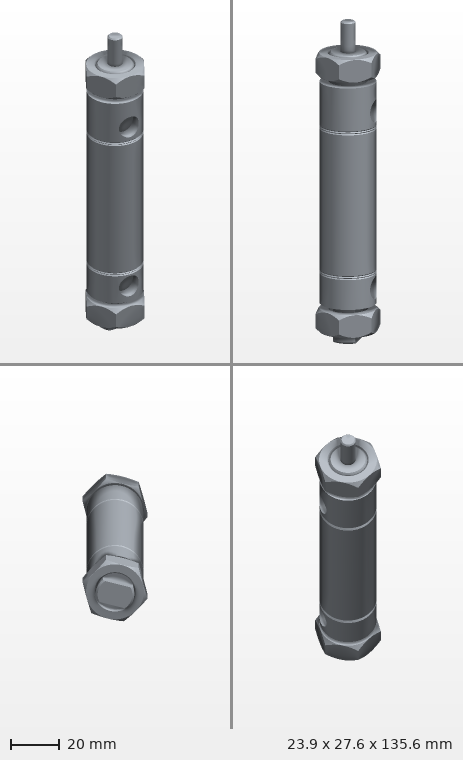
import cadquery as cq
import math

foot_bottom = 0.0
barrel_bottom = 15.7
barrel_top = 110.0
neck_top = 122.6
rod_top = 135.6

barrel_diameter = 23.5
thread_diameter = 15.9
foot_chamfer = 0.8
neck_chamfer = 0.8
foot_width = 9.4

crimp_heights = [29.3, 90.9]
groove_width = 0.8
groove_depth = 0.4

port_heights = [22.9, 98.0]
port_diameter = 9.5
port_depth = 5.4

rod_diameter = 6.2
rod_chamfer = 0.5

nut_bottoms = [3.8, 112.5]
nut_sides = 6
nut_width = 23.9
nut_thickness = 9.8
nut_face_diameter = 23.7
nut_chamfer_angle = 45.0
nut_countersink = 0.5

barrel_radius = barrel_diameter / 2
thread_radius = thread_diameter / 2


def cylinder(diameter, bottom, top):
    """Upright cylinder on the Z axis between two levels."""
    return cq.Workplane("XY", origin=(0, 0, bottom)).circle(diameter / 2).extrude(top - bottom)


def make_foot():
    """Threaded lower end, chamfered and cut flat on two sides."""
    foot = cylinder(thread_diameter, foot_bottom, barrel_bottom).faces("<Z").chamfer(foot_chamfer)
    foot_height = barrel_bottom - foot_bottom
    flat_block = cq.Workplane("XY", origin=(0, 0, foot_bottom)).rect(foot_width, thread_diameter)
    return foot.intersect(flat_block.extrude(foot_height))


def make_groove(z):
    """Ring of triangular section, centred on level z."""
    section = (
        cq.Workplane("XZ")
        .moveTo(barrel_radius, z - groove_width / 2)
        .lineTo(barrel_radius - groove_depth, z)
        .lineTo(barrel_radius, z + groove_width / 2)
        .close()
    )
    return section.revolve(360, (0, 0), (0, 1))


def make_port(z):
    """Round cutter reaching port_depth inward from the +X side of the barrel."""
    port_floor = cq.Workplane("YZ", origin=(barrel_radius - port_depth, 0, z))
    return port_floor.circle(port_diameter / 2).extrude(port_depth)


def make_barrel():
    """Barrel with its threaded foot and neck, crimped bands and air ports."""
    neck = cylinder(thread_diameter, barrel_top, neck_top).faces(">Z").chamfer(neck_chamfer)
    body = cylinder(barrel_diameter, barrel_bottom, barrel_top).union(make_foot()).union(neck)
    for z in crimp_heights:
        for side in (-1, 1):
            body = body.cut(make_groove(z + side * groove_width / 2))
    for z in port_heights:
        body = body.cut(make_port(z))
    return body


def make_rod():
    """Plain rod with a chamfered upper end."""
    return cylinder(rod_diameter, neck_top, rod_top).faces(">Z").chamfer(rod_chamfer)


def make_nut(bottom):
    """Hexagon nut with chamfered corners and a bore countersunk at both ends."""
    corner_radius = nut_width / 2 / math.cos(math.pi / nut_sides)
    face_radius = nut_face_diameter / 2
    mouth_radius = thread_radius + nut_countersink
    corner_drop = (corner_radius - face_radius) * math.tan(math.radians(nut_chamfer_angle))

    prism = cq.Workplane("XY").polygon(nut_sides, 2 * corner_radius).extrude(nut_thickness)
    prism = prism.rotate((0, 0, 0), (0, 0, 1), 180 / nut_sides)
    turned_section = (
        cq.Workplane("XZ")
        .moveTo(mouth_radius, 0)
        .lineTo(face_radius, 0)
        .lineTo(corner_radius, corner_drop)
        .lineTo(corner_radius, nut_thickness - corner_drop)
        .lineTo(face_radius, nut_thickness)
        .lineTo(mouth_radius, nut_thickness)
        .lineTo(thread_radius, nut_thickness - nut_countersink)
        .lineTo(thread_radius, nut_countersink)
        .close()
    )
    nut = prism.intersect(turned_section.revolve(360, (0, 0), (0, 1)))
    return nut.translate((0, 0, bottom))


barrel = make_barrel()
rod = make_rod()
nuts = [make_nut(bottom) for bottom in nut_bottoms]
result = cq.Compound.makeCompound([barrel.val(), rod.val(), *[nut.val() for nut in nuts]])